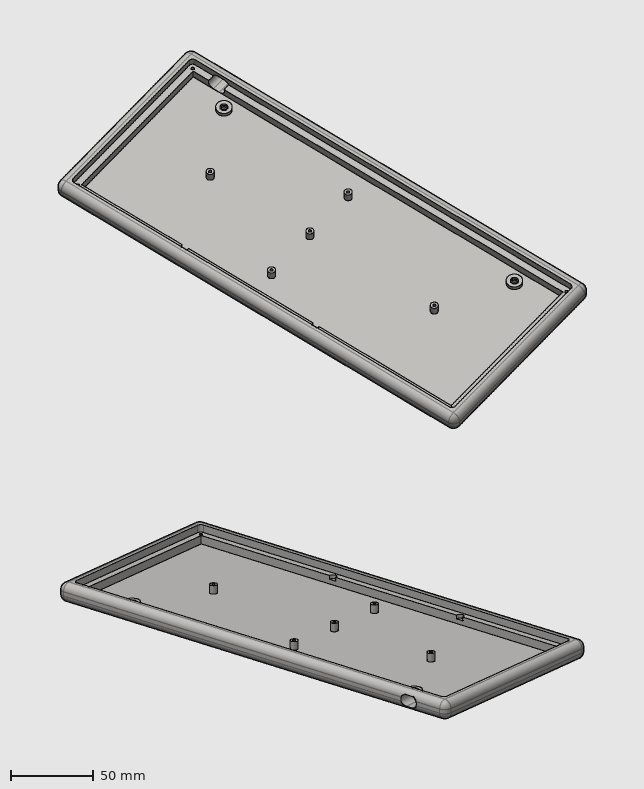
import cadquery as cq

LENGTH = 306.0
WIDTH = 134.5
HEIGHT = 12.5
EDGE_RADIUS = 5.0

RIM_WIDTH = 7.0
OPENING_LENGTH = LENGTH - 2 * RIM_WIDTH
OPENING_WIDTH = WIDTH - 2 * RIM_WIDTH
OPENING_CORNER_RADIUS = 2.5
LEDGE_WIDTH = 4.5
LEDGE_TOP = 7.5
FLOOR_TOP = 2.0
POCKET_LENGTH = OPENING_LENGTH - 2 * LEDGE_WIDTH
POCKET_WIDTH = OPENING_WIDTH - 2 * LEDGE_WIDTH

LEDGE_HOLE_DIAMETER = 1.8
LEDGE_HOLE_DEPTH = 3.0
LEDGE_HOLE_INSET = 3.0

BOSS_DIAMETER = 10.0
BOSS_HEIGHT = 2.5
BOSS_HOLE_DIAMETER = 3.0
COUNTERBORE_DIAMETER = 5.0
COUNTERBORE_DEPTH = 1.5
BOSS_X = 111.0
BOSS_Y = 46.8

POST_DIAMETER = 5.0
POST_TOP = LEDGE_TOP
POST_HOLE_DIAMETER = 1.8
POST_HOLE_DEPTH = 4.3
POST_SIDE_X = 85.7
POST_MIDDLE_X = -9.5
POST_MIDDLE_Y = 38.2

NOTCH_DIAMETER = 5.0
NOTCH_DEPTH = 2.5
NOTCH_INSET = 0.3
NOTCH_X = (-62.0, 38.0)

PORT_WIDTH = 12.2
PORT_HEIGHT = 7.5
PORT_X = -123.5
PORT_SILL = 0.15
PORT_BOTTOM = FLOOR_TOP + PORT_SILL


def cylinder(diameter, height, x, y, bottom):
    """Vertical cylinder standing on the level `bottom`."""
    return cq.Workplane("XY", origin=(x, y, bottom)).circle(diameter / 2).extrude(height)


def rounded_block():
    block = cq.Workplane("XY").box(LENGTH, WIDTH, HEIGHT, centered=(True, True, False))
    return block.edges().fillet(EDGE_RADIUS)


def cut_recess(body):
    opening = (
        cq.Workplane("XY", origin=(0, 0, LEDGE_TOP))
        .rect(OPENING_LENGTH, OPENING_WIDTH)
        .extrude(HEIGHT - LEDGE_TOP)
        .edges("|Z")
        .fillet(OPENING_CORNER_RADIUS)
    )
    pocket = (
        cq.Workplane("XY", origin=(0, 0, FLOOR_TOP))
        .rect(POCKET_LENGTH, POCKET_WIDTH)
        .extrude(HEIGHT - FLOOR_TOP)
    )
    return body.cut(opening).cut(pocket)


def cut_ledge_holes(body):
    bottom = LEDGE_TOP - LEDGE_HOLE_DEPTH
    hole_x = OPENING_LENGTH / 2 - LEDGE_HOLE_INSET
    hole_y = OPENING_WIDTH / 2 - LEDGE_HOLE_INSET
    for x in (-hole_x, hole_x):
        for y in (-hole_y, hole_y):
            body = body.cut(cylinder(LEDGE_HOLE_DIAMETER, LEDGE_HOLE_DEPTH, x, y, bottom))
    return body


def cut_notches(body):
    notch_y = -POCKET_WIDTH / 2 - NOTCH_INSET
    for x in NOTCH_X:
        notch = cylinder(NOTCH_DIAMETER, NOTCH_DEPTH, x, notch_y, LEDGE_TOP - NOTCH_DEPTH)
        body = body.cut(notch)
    return body


def cut_port(body):
    wall_depth = (WIDTH - POCKET_WIDTH) / 2
    port = (
        cq.Workplane("XZ", origin=(PORT_X, WIDTH / 2, PORT_BOTTOM + PORT_HEIGHT / 2))
        .slot2D(PORT_WIDTH, PORT_HEIGHT)
        .extrude(wall_depth)
    )
    return body.cut(port)


def add_bosses(body):
    seat = FLOOR_TOP + BOSS_HEIGHT - COUNTERBORE_DEPTH
    for x in (-BOSS_X, BOSS_X):
        body = body.union(cylinder(BOSS_DIAMETER, BOSS_HEIGHT, x, BOSS_Y, FLOOR_TOP))
        body = body.cut(cylinder(BOSS_HOLE_DIAMETER, HEIGHT, x, BOSS_Y, 0))
        body = body.cut(cylinder(COUNTERBORE_DIAMETER, COUNTERBORE_DEPTH, x, BOSS_Y, seat))
    return body


def add_posts(body):
    middle_posts = [(POST_MIDDLE_X, y) for y in (-POST_MIDDLE_Y, 0, POST_MIDDLE_Y)]
    side_posts = [(x, 0) for x in (-POST_SIDE_X, POST_SIDE_X)]
    for x, y in middle_posts + side_posts:
        post = cylinder(POST_DIAMETER, POST_TOP - FLOOR_TOP, x, y, FLOOR_TOP)
        pilot = cylinder(POST_HOLE_DIAMETER, POST_HOLE_DEPTH, x, y, POST_TOP - POST_HOLE_DEPTH)
        body = body.union(post).cut(pilot)
    return body


tray = cut_recess(rounded_block())
tray = cut_ledge_holes(tray)
tray = cut_notches(tray)
tray = cut_port(tray)
tray = add_bosses(tray)
result = add_posts(tray)